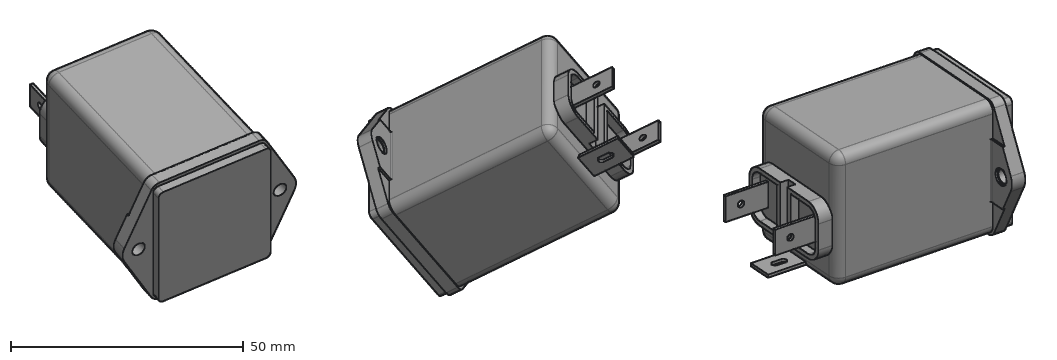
import cadquery as cq
import math


overall_length = 59.39

flange_thickness = 3.05
flange_width = 44.2
flange_height = 33.27
flange_corner_radius = 2.3
flange_corner_y = 12.7
hole_y = 18.0
hole_diameter = 3.2
counterbore_diameter = 4.06
counterbore_depth = 0.5

pad_height = 0.51
pad_fillet_radius = 0.25
pad_length = 15.36

housing_length = 41.6
housing_width = 28.7
housing_height = 32.77
housing_radius = 2.54
bezel_length = 2.16
bezel_width = 28.6
bezel_height = 31.45
bezel_radius = 1.27

boss_z = -2.74
boss_length = 3.48
boss_width = 25.66
boss_height = 14.06
boss_radius = 3.81
boss_wall = 1.14
boss_slot_width = 2.54
boss_slot_depth = 2.15
pocket_inner_y = 2.54
pocket_depth = 2.1

blade_width = 6.35
blade_thickness = 0.8
blade_y = 9.15
blade_hole_diameter = 1.65
blade_hole_inset = 4.06
ground_z = -14.7
ground_inset = 2.67
ground_slot_length = 3.81
ground_slot_inset = 3.3

bezel_front_x = flange_thickness + bezel_length
housing_rear_x = -housing_length
boss_rear_x = housing_rear_x - boss_length
blade_tip_x = bezel_front_x - overall_length
ground_tip_x = blade_tip_x + ground_inset
root_x = housing_rear_x + housing_radius


def box_between(x0, x1, y0, y1, z0, z1):
    """Axis-aligned box given by its limits."""
    return cq.Workplane("XY").box(x1 - x0, y1 - y0, z1 - z0, centered=False).translate((x0, y0, z0))


def bar_along_x(x0, x1, width, height, y=0.0, z=0.0):
    """Rectangular bar along X, centred on (y, z)."""
    return box_between(x0, x1, y - width / 2, y + width / 2, z - height / 2, z + height / 2)


def make_flange_plate(x0, x1):
    """Six-sided plate: two flat edges, two tips rounded about the screw holes."""
    tip_radius = flange_width / 2 - hole_y
    corner_z = flange_height / 2 - flange_corner_radius
    run_y = hole_y - flange_corner_y
    spacing = math.hypot(run_y, corner_z)
    slope = math.atan2(run_y, corner_z) + math.asin((tip_radius - flange_corner_radius) / spacing)

    def tip(angle, side):
        return (side * (hole_y + tip_radius * math.cos(angle)), tip_radius * math.sin(angle))

    def corner(angle, side, end):
        y = flange_corner_y + flange_corner_radius * math.cos(angle)
        z = corner_z + flange_corner_radius * math.sin(angle)
        return (side * y, end * z)

    top = math.pi / 2
    middle = (slope + top) / 2
    outline = (
        cq.Workplane("YZ", origin=(x0, 0, 0))
        .moveTo(*corner(top, -1, 1))
        .lineTo(*corner(top, 1, 1))
        .threePointArc(corner(middle, 1, 1), corner(slope, 1, 1))
        .lineTo(*tip(slope, 1))
        .threePointArc(tip(0, 1), tip(-slope, 1))
        .lineTo(*corner(slope, 1, -1))
        .threePointArc(corner(middle, 1, -1), corner(top, 1, -1))
        .lineTo(*corner(top, -1, -1))
        .threePointArc(corner(middle, -1, -1), corner(slope, -1, -1))
        .lineTo(*tip(-slope, -1))
        .threePointArc(tip(0, -1), tip(slope, -1))
        .lineTo(*corner(slope, -1, 1))
        .threePointArc(corner(middle, -1, 1), corner(top, -1, 1))
        .close()
    )
    return outline.extrude(x1 - x0)


def make_flange():
    """Flange plate with a raised band across its tips and two counterbored screw holes.

    The housing covers the middle of the band, leaving one pad on each side.
    """
    flange = make_flange_plate(0, flange_thickness)
    pad_layer = make_flange_plate(-pad_height, 0)
    pad_limits = bar_along_x(-pad_height, 0, flange_width, pad_length)
    flange = flange.union(pad_layer.intersect(pad_limits))
    holes = cq.Workplane("YZ", origin=(-pad_height, 0, 0)).pushPoints([(-hole_y, 0), (hole_y, 0)])
    flange = flange.cut(holes.circle(hole_diameter / 2).extrude(pad_height + flange_thickness))
    return flange.cut(holes.circle(counterbore_diameter / 2).extrude(counterbore_depth))


def make_housing():
    """Box with rounded long edges and a rounded rear end."""
    housing = bar_along_x(housing_rear_x, 0, housing_width, housing_height)
    return housing.edges("|X or <X").fillet(housing_radius)


def make_pad_fillet(side):
    """Concave strip easing the corner between the housing wall and a raised pad."""
    wall_y = side * housing_width / 2
    outer_y = wall_y + side * pad_fillet_radius
    rear_x = -pad_height - pad_fillet_radius
    middle_offset = pad_fillet_radius * (1 - math.sqrt(0.5))
    profile = (
        cq.Workplane("XY", origin=(0, 0, -pad_length / 2))
        .moveTo(0, wall_y)
        .lineTo(rear_x, wall_y)
        .threePointArc((-pad_height - middle_offset, wall_y + side * middle_offset), (-pad_height, outer_y))
        .lineTo(0, outer_y)
        .close()
    )
    return profile.extrude(pad_length)


def make_bezel():
    """Shallow rim standing in front of the flange."""
    bezel = bar_along_x(flange_thickness, bezel_front_x, bezel_width, bezel_height)
    return bezel.edges("|X").fillet(bezel_radius)


def make_boss():
    """Rounded block reaching into the housing's rear rounding, split by a central slot."""
    boss = bar_along_x(boss_rear_x, root_x, boss_width, boss_height, z=boss_z)
    boss = boss.edges("|X").fillet(boss_radius)
    slot = bar_along_x(boss_rear_x, boss_rear_x + boss_slot_depth, boss_slot_width, boss_height, z=boss_z)
    return boss.cut(slot)


def make_pocket(side):
    """Recess around one line terminal, rounded at its two outer corners."""
    outer_y = boss_width / 2 - boss_wall
    height = boss_height - 2 * boss_wall
    pocket = bar_along_x(boss_rear_x, boss_rear_x + pocket_depth, 2 * outer_y, height, z=boss_z)
    pocket = pocket.edges("|X").fillet(boss_radius - boss_wall)
    inner_y, outer_y = sorted((side * pocket_inner_y, side * outer_y))
    return pocket.intersect(box_between(boss_rear_x, 0, inner_y, outer_y, -housing_height, housing_height))


def make_line_blade(side):
    """Upright blade with a round hole near its tip."""
    blade = bar_along_x(blade_tip_x, root_x, blade_thickness, blade_width, side * blade_y, boss_z)
    hole_x = blade_tip_x + blade_hole_inset
    hole = (
        cq.Workplane("XZ", origin=(hole_x, side * blade_y, boss_z))
        .circle(blade_hole_diameter / 2)
        .extrude(blade_thickness, both=True)
    )
    return blade.cut(hole)


def make_ground_blade():
    """Flat blade below the boss with an elongated hole."""
    blade = bar_along_x(ground_tip_x, root_x, blade_width, blade_thickness, z=ground_z)
    slot_x = ground_tip_x + ground_slot_inset + ground_slot_length / 2
    slot = (
        cq.Workplane("XY", origin=(slot_x, 0, ground_z))
        .slot2D(ground_slot_length, blade_hole_diameter)
        .extrude(blade_thickness, both=True)
    )
    return blade.cut(slot)


result = make_flange().union(make_housing()).union(make_bezel()).union(make_boss())
for side in (-1, 1):
    result = result.union(make_pad_fillet(side))
    result = result.cut(make_pocket(side)).union(make_line_blade(side))
result = result.union(make_ground_blade())